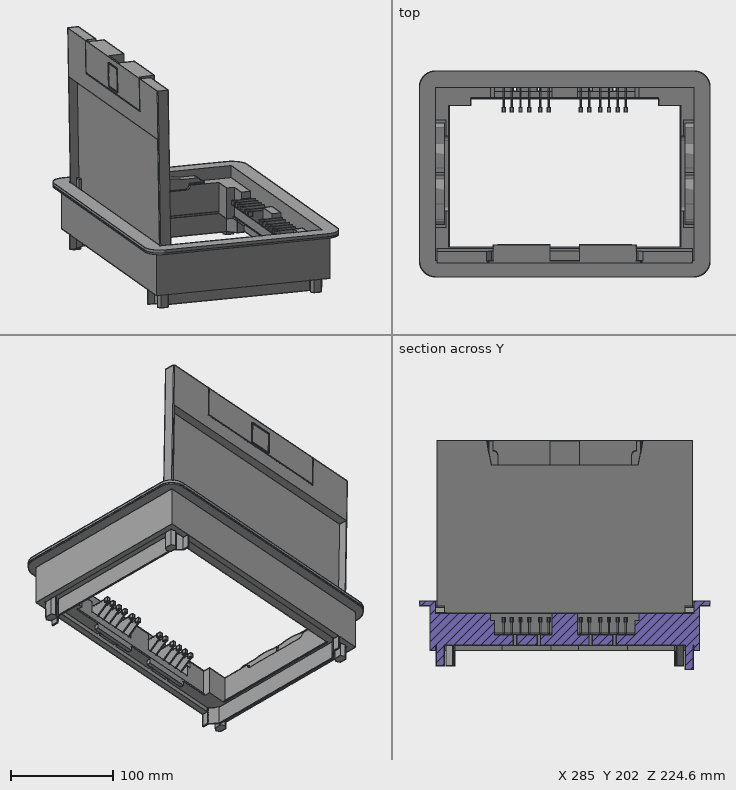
import cadquery as cq
import math


SIDES = (-1, 1)

RIM_X = 285.0
RIM_Y = 202.0
RIM_RADIUS = 16.0
RIM_TOP_LAYER = 3.0
RIM_THICKNESS = 4.8
RIM_UNDERCUT = 0.3

BOX_X = 264.5
BOX_Y = 181.8
BOX_BOTTOM = -48.7
OPENING_X = 253.0
OPENING_BACK = 84.6
OPENING_FRONT = -OPENING_BACK

LEDGE_TOP = -12.3
LEDGE_BOTTOM = -43.5
WINDOW_X = 228.0
WINDOW_FRONT = -71.5
CORNER_BLOCK_Y = 67.0
CORNER_BLOCK_X = 92.0
BACK_LEDGE_Y = 75.0
SIDE_LIP_WIDTH = 1.0
BACK_LIP_WIDTH = 1.5
LIP_THICKNESS = 2.0

NICHE_INNER = 12.5
NICHE_OUTER = 68.7
NICHE_STEP_WIDTH = 4.0
NICHE_STEP_Z = -19.0
NICHE_FLOOR = -31.5
TROUGH_DEPTH = 1.5
TROUGH_Y = 80.7
CABLE_SLOT_CENTRES = (25.5, 48.7)
CABLE_SLOT_X = 3.0
CABLE_SLOT_Y = 3.0
SOCKET_TAB_INNER = 13.5
SOCKET_TAB_OUTER = 61.5
SOCKET_TAB_Y = 4.0

FIN_CENTRES = (15.7, 24.0, 34.8, 43.3, 52.0, 59.8)
FIN_THICKNESS = 1.0
FIN_TOP = -16.2
FIN_TIP_Y = 60.7
FIN_TIP_LENGTH = 4.5
FIN_TIP_WIDTH = 3.0
FIN_TIP_HEIGHT = 4.5

CLIP_CENTRE_Y = 0.3
CLIP_WIDTH = 8.8
CLIP_TOE_WIDTH = 10.0
CLIP_INNER_END = 1.0
CLIP_DOME_START = 5.5
CLIP_DOME_END = 29.5
CLIP_SHOULDER_END = 45.0
CLIP_TOE_START = 49.5
CLIP_OUTER_END = 52.7
CLIP_SHOULDER_HEIGHT = 5.7
CLIP_TOE_HEIGHT = CLIP_SHOULDER_HEIGHT - (CLIP_TOE_START - CLIP_SHOULDER_END)
CLIP_DOME_RISE = 1.5
CLIP_RECESS_HALF = 36.8
CLIP_RECESS_DEPTH = 4.5
CLIP_RECESS_RADIUS = 4.3

BRACKET_X = 116.5
BRACKET_END_X = 109.2
BRACKET_THICKNESS = 1.5
BRACKET_BEND_START = 75.5
BRACKET_BEND_END = 84.5
BRACKET_BOTTOM = -63.5
FOOT_X = 122.0
FOOT_Y = 80.0
FOOT_WIDTH = 8.0
FOOT_LENGTH = 12.0
FOOT_FLAT = 7.5
LEFT_FOOT_BOTTOM = -67.3
RIGHT_FOOT_BOTTOM = BRACKET_BOTTOM

LID_X = 250.8
LID_THICKNESS = 11.5
LID_TOP = 157.0
LID_HEIGHT = LID_TOP - LEDGE_TOP
LID_LEAN = 1.0
LID_FOOT_Y = -84.5
FASCIA_HEIGHT = 49.5
LID_RAIL = 1.7
LID_EDGE_CHAMFER = 0.9
LID_RECESS_DEPTH = 8.8
LUG_WIDTH = 6.8
LUG_RISE = 4.0
LUG_DEPTH = 2.5

FLAP_X = 149.0
FLAP_HEIGHT = 32.8
FLAP_THICKNESS = 2.0
FLAP_GAP = 0.9
FLAP_NOTCH_TOP_X = 153.3
FLAP_NOTCH_FLOOR_X = 143.5
HOOK_INNER = 14.2
HOOK_OUTER = 70.0
HOOK_REACH = 17.7
HOOK_HEIGHT = 24.0
HOOK_HEAD = 10.0
HOOK_FILLET = 4.5
BUTTON_SIZE = 25.0
BUTTON_DROP = 6.0
BUTTON_RADIUS = 1.5
BUTTON_GROOVE = 0.9


def block(x0, x1, y0, y1, z0, z1):
    """Box between two opposite corners, given in any order."""
    centre = ((x0 + x1) / 2, (y0 + y1) / 2, (z0 + z1) / 2)
    return cq.Workplane("XY").box(abs(x1 - x0), abs(y1 - y0), abs(z1 - z0)).translate(centre)


def make_rim():
    top_layer = (
        cq.Workplane("XY").rect(RIM_X, RIM_Y).extrude(-RIM_TOP_LAYER)
        .edges("|Z").fillet(RIM_RADIUS)
    )
    bottom_layer = (
        cq.Workplane("XY").rect(RIM_X - 2 * RIM_UNDERCUT, RIM_Y - 2 * RIM_UNDERCUT)
        .extrude(-RIM_THICKNESS)
        .edges("|Z").fillet(RIM_RADIUS - RIM_UNDERCUT)
    )
    return top_layer.union(bottom_layer)


def make_shell():
    """Rim and box walls with the stepped ledge left standing inside."""
    half_opening = OPENING_X / 2
    half_window = WINDOW_X / 2
    shell = make_rim().union(block(-BOX_X / 2, BOX_X / 2, -BOX_Y / 2, BOX_Y / 2, 0, BOX_BOTTOM))
    shell = shell.cut(block(-half_opening, half_opening, OPENING_FRONT, OPENING_BACK, 0, LEDGE_TOP))
    shell = shell.cut(
        block(-half_opening, half_opening, OPENING_FRONT, OPENING_BACK, LEDGE_BOTTOM, BOX_BOTTOM)
    )
    shell = shell.cut(
        block(-half_window, half_window, WINDOW_FRONT, CORNER_BLOCK_Y, LEDGE_TOP, LEDGE_BOTTOM)
    )
    return shell.cut(
        block(-CORNER_BLOCK_X, CORNER_BLOCK_X, CORNER_BLOCK_Y, BACK_LEDGE_Y, LEDGE_TOP, LEDGE_BOTTOM)
    )


def make_lips():
    """Narrow lips along the bottom of the side ledges and the back ledge."""
    lip_top = LEDGE_BOTTOM + LIP_THICKNESS
    half_window = WINDOW_X / 2
    lips = block(
        -CORNER_BLOCK_X, CORNER_BLOCK_X, BACK_LEDGE_Y, BACK_LEDGE_Y - BACK_LIP_WIDTH, lip_top, LEDGE_BOTTOM
    )
    for side in SIDES:
        lips = lips.union(
            block(
                side * half_window, side * (half_window - SIDE_LIP_WIDTH),
                WINDOW_FRONT, CORNER_BLOCK_Y, lip_top, LEDGE_BOTTOM,
            )
        )
    return lips


def make_niche_cut(side):
    """Stepped pocket in the back ledge, with a trough along the wall and two cable slots."""
    inner = side * NICHE_INNER
    step = side * (NICHE_OUTER + NICHE_STEP_WIDTH)
    outer = side * NICHE_OUTER
    cut = block(inner, outer, BACK_LEDGE_Y, OPENING_BACK, LEDGE_TOP, NICHE_FLOOR)
    cut = cut.union(block(outer, step, BACK_LEDGE_Y, OPENING_BACK, LEDGE_TOP, NICHE_STEP_Z))
    cut = cut.union(
        block(inner, outer, TROUGH_Y, OPENING_BACK, NICHE_FLOOR, NICHE_FLOOR - TROUGH_DEPTH)
    )
    for centre in CABLE_SLOT_CENTRES:
        slot_x = side * centre
        cut = cut.union(
            block(
                slot_x - CABLE_SLOT_X / 2, slot_x + CABLE_SLOT_X / 2,
                OPENING_BACK - CABLE_SLOT_Y, OPENING_BACK, NICHE_FLOOR, LEDGE_BOTTOM,
            )
        )
    return cut


def make_socket_tab(side):
    return block(
        side * SOCKET_TAB_INNER, side * SOCKET_TAB_OUTER,
        BACK_LEDGE_Y - BACK_LIP_WIDTH, BACK_LEDGE_Y - BACK_LIP_WIDTH + SOCKET_TAB_Y,
        LEDGE_BOTTOM + LIP_THICKNESS, BOX_BOTTOM,
    )


def make_fin(x):
    """Thin tapered contact fin on the back wall with a thicker tip."""
    web = (
        cq.Workplane("YZ")
        .polyline([
            (OPENING_BACK, FIN_TOP),
            (FIN_TIP_Y, FIN_TOP),
            (FIN_TIP_Y, FIN_TOP - FIN_TIP_HEIGHT),
            (BACK_LEDGE_Y, NICHE_FLOOR),
            (OPENING_BACK, NICHE_FLOOR - TROUGH_DEPTH),
        ])
        .close()
        .extrude(FIN_THICKNESS / 2, both=True)
        .translate((x, 0, 0))
    )
    tip = block(
        x - FIN_TIP_WIDTH / 2, x + FIN_TIP_WIDTH / 2,
        FIN_TIP_Y, FIN_TIP_Y + FIN_TIP_LENGTH, FIN_TOP, FIN_TOP - FIN_TIP_HEIGHT,
    )
    return web.union(tip)


def make_clip(side, direction):
    """Clip on a side ledge, running from the clip centre towards +Y or -Y."""
    def point(distance, height):
        return (CLIP_CENTRE_Y + direction * distance, LEDGE_TOP + height)

    dome_middle = (CLIP_DOME_START + CLIP_DOME_END) / 2
    toe_radius = CLIP_TOE_START - CLIP_SHOULDER_END
    toe_middle = CLIP_SHOULDER_END + toe_radius * math.sin(math.radians(45))
    toe_drop = toe_radius * (1 - math.cos(math.radians(45)))
    profile = (
        cq.Workplane("YZ")
        .moveTo(*point(CLIP_INNER_END, 0))
        .lineTo(*point(CLIP_INNER_END, CLIP_SHOULDER_HEIGHT))
        .lineTo(*point(CLIP_DOME_START, CLIP_SHOULDER_HEIGHT))
        .threePointArc(
            point(dome_middle, CLIP_SHOULDER_HEIGHT + CLIP_DOME_RISE),
            point(CLIP_DOME_END, CLIP_SHOULDER_HEIGHT),
        )
        .lineTo(*point(CLIP_SHOULDER_END, CLIP_SHOULDER_HEIGHT))
        .threePointArc(
            point(toe_middle, CLIP_SHOULDER_HEIGHT - toe_drop),
            point(CLIP_TOE_START, CLIP_TOE_HEIGHT),
        )
        .lineTo(*point(CLIP_OUTER_END, CLIP_TOE_HEIGHT))
        .lineTo(*point(CLIP_OUTER_END, 0))
        .close()
    )
    wall_x = side * OPENING_X / 2
    toe_inner_y, toe_bottom = point(CLIP_RECESS_HALF, 0)
    toe_outer_y, toe_top = point(CLIP_OUTER_END, CLIP_TOE_HEIGHT)
    toe_plate = block(
        wall_x, wall_x - side * CLIP_TOE_WIDTH, toe_inner_y, toe_outer_y, toe_bottom, toe_top
    )
    return profile.extrude(-side * CLIP_WIDTH).translate((wall_x, 0, 0)).union(toe_plate)


def make_clip_recess(side):
    """Recess in the ledge beside a pair of clips, with rounded ends."""
    recess = block(
        side * (OPENING_X / 2 - CLIP_WIDTH), side * (WINDOW_X / 2 - SIDE_LIP_WIDTH),
        CLIP_CENTRE_Y - CLIP_RECESS_HALF, CLIP_CENTRE_Y + CLIP_RECESS_HALF,
        LEDGE_TOP, LEDGE_TOP - CLIP_RECESS_DEPTH,
    )
    return recess.edges("|X and <Z").fillet(CLIP_RECESS_RADIUS)


def make_bracket(side):
    """Plate along one side below the box, with both ends jogged inwards."""
    end_y = BOX_Y / 2
    outer_face = [
        (BRACKET_END_X, -end_y),
        (BRACKET_END_X, -BRACKET_BEND_END),
        (BRACKET_X, -BRACKET_BEND_START),
        (BRACKET_X, BRACKET_BEND_START),
        (BRACKET_END_X, BRACKET_BEND_END),
        (BRACKET_END_X, end_y),
    ]
    inner_face = [(x - BRACKET_THICKNESS, y) for x, y in reversed(outer_face)]
    return (
        cq.Workplane("XY", origin=(0, 0, BRACKET_BOTTOM))
        .polyline([(side * x, y) for x, y in outer_face + inner_face])
        .close()
        .extrude(LEDGE_BOTTOM - BRACKET_BOTTOM)
    )


def make_foot(x, y, bottom):
    """Six-sided post with its flats facing along X."""
    return (
        cq.Workplane("XY", origin=(x, y, bottom))
        .polyline([
            (-FOOT_WIDTH / 2, -FOOT_FLAT / 2),
            (0, -FOOT_LENGTH / 2),
            (FOOT_WIDTH / 2, -FOOT_FLAT / 2),
            (FOOT_WIDTH / 2, FOOT_FLAT / 2),
            (0, FOOT_LENGTH / 2),
            (-FOOT_WIDTH / 2, FOOT_FLAT / 2),
        ])
        .close()
        .extrude(LEDGE_BOTTOM - bottom)
    )


def make_housing():
    housing = make_shell().union(make_lips())
    for side in SIDES:
        housing = housing.cut(make_niche_cut(side)).cut(make_clip_recess(side))
        housing = housing.union(make_socket_tab(side)).union(make_bracket(side))
        for centre in FIN_CENTRES:
            housing = housing.union(make_fin(side * centre))
        foot_bottom = LEFT_FOOT_BOTTOM if side < 0 else RIGHT_FOOT_BOTTOM
        for direction in SIDES:
            housing = housing.union(make_clip(side, direction))
            housing = housing.union(make_foot(side * FOOT_X, direction * FOOT_Y, foot_bottom))
    return housing


def lean(body):
    """Lean an upright body outwards and stand it on the front ledge."""
    leaned = body.rotate((0, 0, 0), (1, 0, 0), LID_LEAN)
    return leaned.translate((0, LID_FOOT_Y, LEDGE_TOP))


def make_lid():
    half_lid = LID_X / 2
    lid = block(-half_lid, half_lid, 0, LID_THICKNESS, 0, LID_HEIGHT)
    lid = lid.edges("<Y and |Z").chamfer(LID_EDGE_CHAMFER)

    half_recess = half_lid - LID_RAIL
    lid = lid.cut(
        block(-half_recess, half_recess, 0, LID_RECESS_DEPTH, 0, LID_HEIGHT - FASCIA_HEIGHT)
    )
    for side in SIDES:
        lid = lid.union(
            block(
                side * half_recess, side * (half_recess - LUG_WIDTH),
                LID_RECESS_DEPTH - LUG_DEPTH, LID_RECESS_DEPTH, 0, LUG_RISE - LEDGE_TOP,
            )
        )

    half_seat = FLAP_X / 2 + FLAP_GAP
    seat_bottom = LID_HEIGHT - FLAP_HEIGHT - FLAP_GAP
    lid = lid.cut(block(-half_seat, half_seat, 0, FLAP_THICKNESS, seat_bottom, LID_HEIGHT))

    notch = (
        cq.Workplane("XZ", origin=(0, FLAP_THICKNESS, 0))
        .polyline([
            (-FLAP_NOTCH_TOP_X / 2, LID_HEIGHT),
            (FLAP_NOTCH_TOP_X / 2, LID_HEIGHT),
            (FLAP_NOTCH_FLOOR_X / 2, LID_HEIGHT - HOOK_HEIGHT),
            (-FLAP_NOTCH_FLOOR_X / 2, LID_HEIGHT - HOOK_HEIGHT),
        ])
        .close()
        .extrude(FLAP_THICKNESS - LID_THICKNESS)
    )
    return lid.cut(notch)


def make_hook(side):
    """Block behind the flap, undercut below its head by a concave quarter round."""
    neck_outer = HOOK_OUTER - HOOK_FILLET
    head_bottom = LID_HEIGHT - HOOK_HEAD
    bulge = HOOK_FILLET * (1 - math.cos(math.radians(45)))
    profile = (
        cq.Workplane("XZ")
        .moveTo(side * HOOK_INNER, LID_HEIGHT)
        .lineTo(side * HOOK_OUTER, LID_HEIGHT)
        .lineTo(side * HOOK_OUTER, head_bottom)
        .threePointArc(
            (side * (neck_outer + bulge), head_bottom - bulge),
            (side * neck_outer, head_bottom - HOOK_FILLET),
        )
        .lineTo(side * neck_outer, LID_HEIGHT - HOOK_HEIGHT)
        .lineTo(side * HOOK_INNER, LID_HEIGHT - HOOK_HEIGHT)
        .close()
    )
    return profile.extrude(-HOOK_REACH)


def make_button_groove():
    """Square groove that outlines the push button."""
    centre_z = LID_HEIGHT - BUTTON_DROP - BUTTON_SIZE / 2
    inner_size = BUTTON_SIZE - 2 * BUTTON_GROOVE
    outer = (
        cq.Workplane("XZ").rect(BUTTON_SIZE, BUTTON_SIZE).extrude(-BUTTON_GROOVE)
        .edges("|Y").fillet(BUTTON_RADIUS)
    )
    inner = cq.Workplane("XZ").rect(inner_size, inner_size).extrude(-BUTTON_GROOVE)
    return outer.cut(inner).translate((0, 0, centre_z))


def make_flap():
    flap = block(-FLAP_X / 2, FLAP_X / 2, 0, FLAP_THICKNESS, LID_HEIGHT - FLAP_HEIGHT, LID_HEIGHT)
    for side in SIDES:
        flap = flap.union(make_hook(side))
    return flap.cut(make_button_groove())


housing = make_housing()
lid = lean(make_lid())
flap = lean(make_flap())

result = cq.Compound.makeCompound([housing.val(), lid.val(), flap.val()])